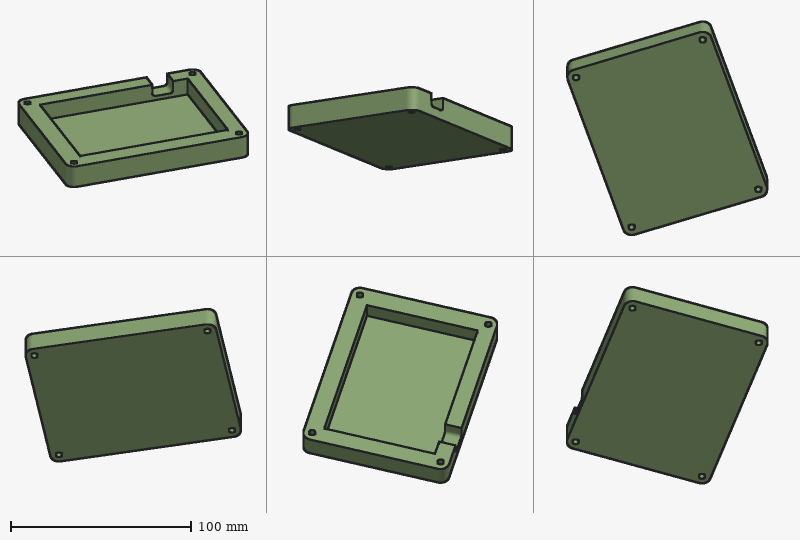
import cadquery as cq

width = 84.0
length = 107.7
height = 13.0
corner_radius = 5.0

thin_wall = 9.5
thick_wall = 10.7
pocket_depth = 10.0

hole_diameter = 3.5

notch_width = 12.3
notch_depth = 7.4
notch_radius = 2.0
notch_offset = 18.1


def make_block():
    block = cq.Workplane("XY").box(width, length, height, centered=(True, True, False))
    return block.edges("|Z").fillet(corner_radius)


def make_pocket():
    pocket_width = width - thin_wall - thick_wall
    pocket_length = length - thin_wall - thick_wall
    shift = (thick_wall - thin_wall) / 2
    return (
        cq.Workplane("XY", origin=(-shift, shift, height - pocket_depth))
        .rect(pocket_width, pocket_length)
        .extrude(pocket_depth)
    )


def make_holes():
    return (
        cq.Workplane("XY")
        .rect(width - 2 * corner_radius, length - 2 * corner_radius, forConstruction=True)
        .vertices()
        .circle(hole_diameter / 2)
        .extrude(height)
    )


def make_notch():
    """Open-topped channel with rounded lower edges, from the -X side to the pocket."""
    center_y = length / 2 - notch_offset - notch_width / 2
    return (
        cq.Workplane("XY", origin=(-width / 2, center_y, height - notch_depth))
        .box(thin_wall, notch_width, notch_depth, centered=(False, True, False))
        .edges("|X and <Z")
        .fillet(notch_radius)
    )


result = make_block().cut(make_pocket()).cut(make_holes()).cut(make_notch())